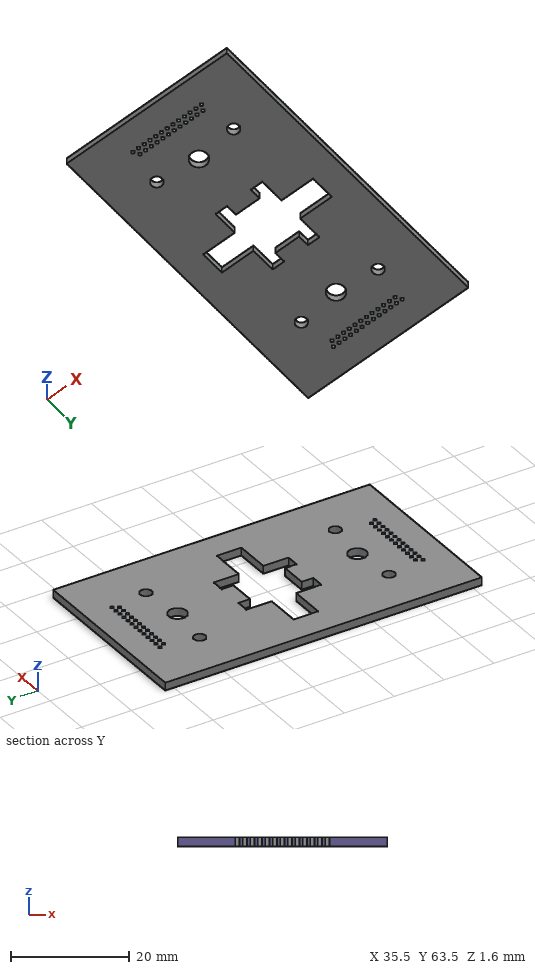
import cadquery as cq
import math

PLATE_WIDTH = 35.5
PLATE_LENGTH = 63.5
PLATE_THICKNESS = 1.6

ARM_SPAN = 24.3
ARM_WIDTH = 4.9
BODY_WIDTH = 10.35
BODY_LENGTH = 15.0
TAB_WIDTH = 5.3
TAB_GAP = 10.35
TAB_LENGTH = (BODY_LENGTH - TAB_GAP) / 2

CORNER_HOLE_DIAMETER = 2.3
CORNER_HOLE_X = 8.5
CORNER_HOLE_Y = 19.0
CENTRE_HOLE_DIAMETER = 3.5
CENTRE_HOLE_Y = 18.05

PIN_HOLE_DIAMETER = 0.61
PIN_PITCH = 1.3
PIN_ROW_SPACING = PIN_PITCH * math.sqrt(3) / 2
OUTER_ROW_Y = 26.35
OUTER_ROW_COUNT = 13
INNER_ROW_Y = OUTER_ROW_Y - PIN_ROW_SPACING
INNER_ROW_COUNT = OUTER_ROW_COUNT - 1


def centred_block(width, length):
    """Block of plate thickness, centred on the origin."""
    return cq.Workplane("XY").box(width, length, PLATE_THICKNESS)


def window():
    """Cross-shaped cutter, notched where the two plate tabs reach inwards."""
    cutter = centred_block(BODY_WIDTH, BODY_LENGTH)
    tab_centre_y = (TAB_GAP + TAB_LENGTH) / 2
    for side in (-1, 1):
        tab = centred_block(TAB_WIDTH, TAB_LENGTH)
        cutter = cutter.cut(tab.translate((0, side * tab_centre_y, 0)))
    return cutter.union(centred_block(ARM_SPAN, ARM_WIDTH))


def row_points(count, y):
    """Evenly pitched points of one pin row, centred on X = 0."""
    first_x = -(count - 1) * PIN_PITCH / 2
    return [(first_x + i * PIN_PITCH, y) for i in range(count)]


def drill(body, points, diameter):
    """Drill through-holes of one diameter at the given points."""
    return body.faces(">Z").workplane(origin=(0, 0, 0)).pushPoints(points).hole(diameter)


corner_points = [
    (side * CORNER_HOLE_X, end * CORNER_HOLE_Y)
    for side in (-1, 1)
    for end in (-1, 1)
]
centre_points = [(0, -CENTRE_HOLE_Y), (0, CENTRE_HOLE_Y)]
pin_points = []
for end in (-1, 1):
    pin_points += row_points(OUTER_ROW_COUNT, end * OUTER_ROW_Y)
    pin_points += row_points(INNER_ROW_COUNT, end * INNER_ROW_Y)

plate = centred_block(PLATE_WIDTH, PLATE_LENGTH).cut(window())
plate = drill(plate, corner_points, CORNER_HOLE_DIAMETER)
plate = drill(plate, centre_points, CENTRE_HOLE_DIAMETER)
result = drill(plate, pin_points, PIN_HOLE_DIAMETER)